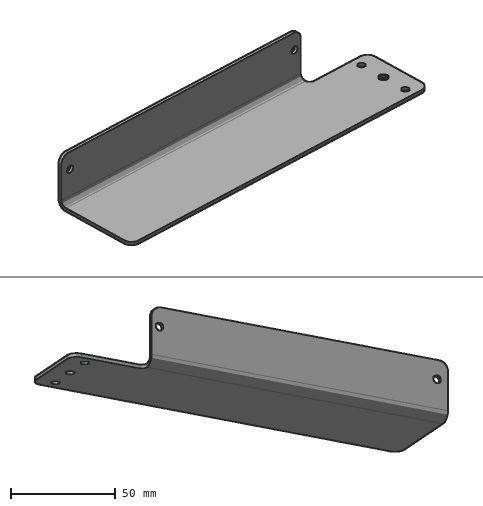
import cadquery as cq

width = 50.0
length = 200.0
height = 30.0
thickness = 2.0
bend_outer_radius = 5.0
bend_inner_radius = bend_outer_radius - thickness
corner_radius = 5.0
hole_edge_inset = 10.0

notch_width = 8.0
notch_length = 39.0
notch_radius = 3.0
flange_length = length - notch_length

tab_hole_y = length - hole_edge_inset
tab_hole_pitch = 15.0
tab_center_x = (notch_width + width) / 2
tab_side_diameter = 4.0
tab_center_diameter = 4.5
tab_center_chamfer = 0.5

flange_hole_z = height - hole_edge_inset
flange_hole_diameter = 4.0
flange_hole_front_margin = 6.0
flange_hole_back_margin = 4.2
flange_hole_positions = (flange_hole_front_margin, flange_length - flange_hole_back_margin)


def angle_section():
    """L-shaped sheet with a rounded bend along the full length."""
    outer = cq.Workplane("XY").box(width, length, height, centered=False)
    outer = outer.edges("|Y and <X and <Z").fillet(bend_outer_radius)
    inner = (
        cq.Workplane("XY")
        .box(width, length, height, centered=False)
        .translate((thickness, 0, thickness))
        .edges("|Y and <X and <Z")
        .fillet(bend_inner_radius)
    )
    return outer.cut(inner)


def cut_notch(body):
    """Remove the bend and upright beside the end tab, with a rounded inner corner."""
    notch = (
        cq.Workplane("XY")
        .box(notch_width, notch_length, height, centered=False)
        .translate((0, flange_length, 0))
        .edges("|Z and >X and <Y")
        .fillet(notch_radius)
    )
    return body.cut(notch)


def round_corners(body):
    """Round the free corners of the base and of the upright flange."""
    body = body.edges("|Z and (>X or >Y)").fillet(corner_radius)
    return body.edges("|X and >Z").fillet(corner_radius)


def tab_hole(x, diameter):
    """Cutter for a vertical hole through the end tab."""
    return cq.Workplane("XY").center(x, tab_hole_y).circle(diameter / 2).extrude(thickness)


def tab_center_chamfer_cone():
    """Cutter for the 45-degree chamfer on the upper rim of the center hole."""
    hole_radius = tab_center_diameter / 2
    return cq.Solid.makeCone(
        hole_radius,
        hole_radius + tab_center_chamfer,
        tab_center_chamfer,
        pnt=cq.Vector(tab_center_x, tab_hole_y, thickness - tab_center_chamfer),
    )


def flange_hole(y):
    """Cutter for a horizontal hole through the upright flange."""
    return (
        cq.Workplane("YZ")
        .center(y, flange_hole_z)
        .circle(flange_hole_diameter / 2)
        .extrude(thickness)
    )


result = round_corners(cut_notch(angle_section()))

result = result.cut(tab_hole(tab_center_x, tab_center_diameter))
result = result.cut(cq.Workplane(tab_center_chamfer_cone()))
for side in (-1, 1):
    result = result.cut(tab_hole(tab_center_x + side * tab_hole_pitch, tab_side_diameter))

for hole_y in flange_hole_positions:
    result = result.cut(flange_hole(hole_y))